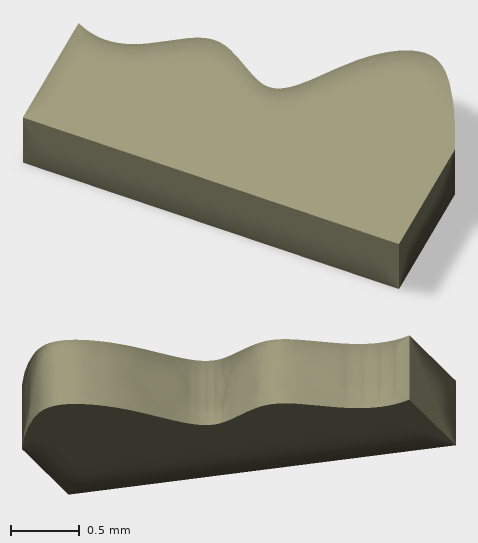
import cadquery as cq

length = 3.0
grid = length / 12
side_height = 4 * grid
thickness = 2 * grid

wave_grid_points = [(11, 6), (10, 7), (8, 6), (6, 4), (4, 5), (2, 4)]
wave_points = [(x * grid, y * grid) for x, y in wave_grid_points]
wave_points.append((0, side_height))

result = (
    cq.Workplane("XY")
    .lineTo(length, 0)
    .lineTo(length, side_height)
    .spline(wave_points, includeCurrent=True)
    .close()
    .extrude(thickness)
)